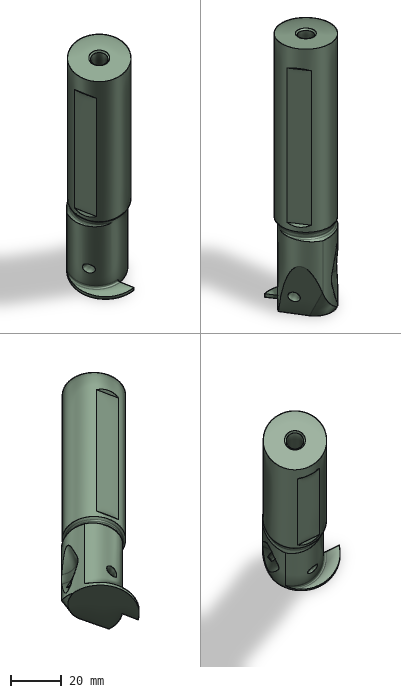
import math

import cadquery as cq

TOTAL_LENGTH = 124.42
SHANK_RADIUS = 12.5

FLAT_DEPTH = 1.0
FLAT_BOTTOM_Z = 44.4
FLAT_TOP_Z = 114.5

SHANK_BOTTOM_Z = 41.25
NECK_RADIUS = 11.35
NECK_TOP_Z = 40.1
NECK_BOTTOM_Z = 37.9
NECK_FILLET = 1.0
SHOULDER_ANGLE = 30.0

HEAD_TOP_Z = 39.6
HEAD_BLANK_RADIUS = 20.0
BACK_RADIUS = 15.32
BACK_CENTER_X = 2.8
FRONT_RADIUS = 12.4
FRONT_CENTER_X = -1.27

BLADE_THICKNESS = 1.6
BLADE_EDGE_Y = -3.96
BLADE_FILLET = 1.0

RELIEF_RADIUS = 8.96
RELIEF_CREST_X = -2.89
RELIEF_CREST_Y = 6.25
RELIEF_FALL = 0.04
RELIEF_LEAN_X = -0.457
RELIEF_LEAN_Y = 0.262

SCOOP_Y = -1.2
SCOOP_Z = 17.15
SCOOP_FLOOR_X = -8.5
SCOOP_RADIUS = 8.5
SCOOP_ANGLE = 18.5
SCOOP_FLOOR_HALF_HEIGHT = 2.7
SCOOP_HALF_HEIGHT = 16.0

BORE_RADIUS = 3.4
BORE_CHAMFER = 0.7
BORE_BOTTOM_Z = 26.0
DRILL_POINT_ANGLE = 118.0
COOLANT_RADIUS = 1.5
SCOOP_HOLE_TOP = (-1.85, -0.95, 25.0)
SCOOP_HOLE_END = (-9.0, 0.0, 14.2)
CROSS_HOLE_RADIUS = 2.5
CROSS_HOLE_FRONT = (1.65, -12.4, 12.5)
CROSS_HOLE_BACK = (2.9, 9.0, 8.8)
LINK_HOLE_TOP = (1.9, -2.4, 25.5)
LINK_HOLE_END = (1.9, -6.0, 11.5)

OVERRUN = 5.0
FAR_REACH = 60.0


def disc(center_x, radius, height):
    return cq.Workplane("XY").center(center_x, 0).circle(radius).extrude(height)


def drill(start, end, radius, start_overrun=0.0, end_overrun=0.0):
    """A round cutter from start to end, lengthened at either end."""
    first = cq.Vector(*start)
    axis = cq.Vector(*end) - first
    direction = axis.normalized()
    length = axis.Length + start_overrun + end_overrun
    origin = first - direction * start_overrun
    return cq.Workplane(cq.Solid.makeCylinder(radius, length, origin, direction))


def half_space_front():
    """Everything on the -Y side of the blade's cutting edge."""
    center_y = BLADE_EDGE_Y - FAR_REACH / 2
    return cq.Workplane("XY").box(FAR_REACH, FAR_REACH, FAR_REACH).translate((0, center_y, 0))


def neck_root(corner_z, flank_turn, toward):
    """Three points of the root fillet from the neck into a flank.

    The profile turns by flank_turn there; toward is +1 for the upper flank and -1 for the lower.
    """
    setback = NECK_FILLET * math.tan(flank_turn / 2)
    center_r = NECK_RADIUS + NECK_FILLET
    center_z = corner_z - toward * setback
    on_neck = (NECK_RADIUS, center_z)
    middle = (
        center_r - NECK_FILLET * math.cos(flank_turn / 2),
        center_z + toward * NECK_FILLET * math.sin(flank_turn / 2),
    )
    on_flank = (
        center_r - NECK_FILLET * math.cos(flank_turn),
        center_z + toward * NECK_FILLET * math.sin(flank_turn),
    )
    return on_neck, middle, on_flank


def turned_blank():
    """Shank, filleted neck groove and oversized head, turned about Z."""
    shoulder_turn = math.radians(90 - SHOULDER_ANGLE)
    shank_turn = math.atan2(SHANK_RADIUS - NECK_RADIUS, SHANK_BOTTOM_Z - NECK_TOP_Z)
    shoulder_drop = (HEAD_BLANK_RADIUS - NECK_RADIUS) / math.tan(shoulder_turn)
    low_neck, low_middle, low_flank = neck_root(NECK_BOTTOM_Z, shoulder_turn, -1)
    top_neck, top_middle, top_flank = neck_root(NECK_TOP_Z, shank_turn, 1)
    return (
        cq.Workplane("XZ")
        .lineTo(HEAD_BLANK_RADIUS, 0)
        .lineTo(HEAD_BLANK_RADIUS, NECK_BOTTOM_Z - shoulder_drop)
        .lineTo(*low_flank)
        .threePointArc(low_middle, low_neck)
        .lineTo(*top_neck)
        .threePointArc(top_middle, top_flank)
        .lineTo(SHANK_RADIUS, SHANK_BOTTOM_Z)
        .lineTo(SHANK_RADIUS, TOTAL_LENGTH)
        .lineTo(0, TOTAL_LENGTH)
        .close()
        .revolve(360, (0, 0, 0), (0, 1, 0))
    )


def lens_outline():
    """Head section bounded by the two round outlines that cross at its corners."""
    center_gap = BACK_CENTER_X - FRONT_CENTER_X
    back_to_corner = (BACK_RADIUS**2 - FRONT_RADIUS**2 + center_gap**2) / (2 * center_gap)
    corner_x = BACK_CENTER_X - back_to_corner
    corner_y = math.sqrt(BACK_RADIUS**2 - back_to_corner**2)
    return (
        cq.Workplane("XY")
        .moveTo(corner_x, -corner_y)
        .threePointArc((FRONT_CENTER_X + FRONT_RADIUS, 0), (corner_x, corner_y))
        .threePointArc((BACK_CENTER_X - BACK_RADIUS, 0), (corner_x, -corner_y))
        .close()
    )


def head_trim():
    """Stock around the head, leaving the lens-shaped section."""
    stock = disc(0, HEAD_BLANK_RADIUS + OVERRUN, HEAD_TOP_Z)
    return stock.cut(lens_outline().extrude(HEAD_TOP_Z))


def blade():
    """Thin blade with a concave fillet running up to the head."""
    fillet_top = BLADE_THICKNESS + BLADE_FILLET
    fillet_radius = FRONT_RADIUS + BLADE_FILLET
    arc_offset = BLADE_FILLET * (1 - math.sqrt(0.5))
    root = (
        cq.Workplane("XZ")
        .moveTo(0, 0)
        .lineTo(fillet_radius, 0)
        .lineTo(fillet_radius, BLADE_THICKNESS)
        .threePointArc(
            (FRONT_RADIUS + arc_offset, BLADE_THICKNESS + arc_offset),
            (FRONT_RADIUS, fillet_top),
        )
        .lineTo(0, fillet_top)
        .close()
        .revolve(360, (0, 0, 0), (0, 1, 0))
        .translate((FRONT_CENTER_X, 0, 0))
        .intersect(disc(BACK_CENTER_X, BACK_RADIUS, fillet_top))
    )
    plate = disc(BACK_CENTER_X, BACK_RADIUS, BLADE_THICKNESS)
    return plate.union(root).intersect(half_space_front())


def relief_cutter():
    """Oblique prism whose kept side is a plane rounding over toward -X."""
    far_y = RELIEF_CREST_Y - RELIEF_FALL * (FAR_REACH - RELIEF_CREST_X)
    arc_center_y = RELIEF_CREST_Y - RELIEF_RADIUS
    left_x = RELIEF_CREST_X - RELIEF_RADIUS
    arc_step = RELIEF_RADIUS * math.sqrt(0.5)
    outline = (
        cq.Workplane("XY")
        .moveTo(FAR_REACH, far_y)
        .lineTo(RELIEF_CREST_X, RELIEF_CREST_Y)
        .threePointArc(
            (RELIEF_CREST_X - arc_step, arc_center_y + arc_step),
            (left_x, arc_center_y),
        )
        .lineTo(left_x, -FAR_REACH)
        .lineTo(-FAR_REACH, -FAR_REACH)
        .lineTo(-FAR_REACH, FAR_REACH)
        .lineTo(FAR_REACH, FAR_REACH)
        .close()
    )
    lean = cq.Vector(RELIEF_LEAN_X, RELIEF_LEAN_Y, 1) * SHANK_BOTTOM_Z
    return cq.Workplane(cq.Solid.extrudeLinear(outline.val(), [], lean))


def scoop_cutter():
    """Waisted tool: two cones tapering away from a rounded middle."""
    slope = math.tan(math.radians(SCOOP_ANGLE))
    floor_arc_radius = SCOOP_FLOOR_HALF_HEIGHT / math.sin(math.radians(SCOOP_ANGLE))
    arc_drop = floor_arc_radius * (1 - math.cos(math.radians(SCOOP_ANGLE)))
    cone_start = SCOOP_RADIUS - arc_drop
    cone_end = cone_start - slope * (SCOOP_HALF_HEIGHT - SCOOP_FLOOR_HALF_HEIGHT)
    return (
        cq.Workplane("XZ")
        .moveTo(0, -SCOOP_HALF_HEIGHT)
        .lineTo(cone_end, -SCOOP_HALF_HEIGHT)
        .lineTo(cone_start, -SCOOP_FLOOR_HALF_HEIGHT)
        .threePointArc((SCOOP_RADIUS, 0), (cone_start, SCOOP_FLOOR_HALF_HEIGHT))
        .lineTo(cone_end, SCOOP_HALF_HEIGHT)
        .lineTo(0, SCOOP_HALF_HEIGHT)
        .close()
        .revolve(360, (0, 0, 0), (0, 1, 0))
        .translate((SCOOP_FLOOR_X - SCOOP_RADIUS, SCOOP_Y, SCOOP_Z))
    )


def flat_cutter(side):
    """Flat on the given Y side (+1 or -1), with 45 degree ends."""
    floor_y = SHANK_RADIUS - FLAT_DEPTH
    outer_y = SHANK_RADIUS + FLAT_DEPTH
    run_out = outer_y - floor_y
    return (
        cq.Workplane("YZ")
        .polyline([
            (side * floor_y, FLAT_BOTTOM_Z),
            (side * outer_y, FLAT_BOTTOM_Z - run_out),
            (side * outer_y, FLAT_TOP_Z + run_out),
            (side * floor_y, FLAT_TOP_Z),
        ])
        .close()
        .extrude(SHANK_RADIUS, both=True)
    )


def bore_cutter():
    """Central bore with a chamfered mouth and a drill-point bottom."""
    mouth_radius = BORE_RADIUS + BORE_CHAMFER
    point_depth = BORE_RADIUS / math.tan(math.radians(DRILL_POINT_ANGLE / 2))
    return (
        cq.Workplane("XZ")
        .polyline([
            (0, BORE_BOTTOM_Z - point_depth),
            (BORE_RADIUS, BORE_BOTTOM_Z),
            (BORE_RADIUS, TOTAL_LENGTH - BORE_CHAMFER),
            (mouth_radius, TOTAL_LENGTH),
            (0, TOTAL_LENGTH),
        ])
        .close()
        .revolve(360, (0, 0, 0), (0, 1, 0))
    )


result = turned_blank().cut(head_trim())
result = result.union(blade())
result = result.cut(relief_cutter())
result = result.cut(scoop_cutter())
for flat_side in (-1, 1):
    result = result.cut(flat_cutter(flat_side))
result = result.cut(bore_cutter())
result = result.cut(drill(SCOOP_HOLE_TOP, SCOOP_HOLE_END, COOLANT_RADIUS, OVERRUN / 2, OVERRUN))
result = result.cut(drill(CROSS_HOLE_FRONT, CROSS_HOLE_BACK, CROSS_HOLE_RADIUS, OVERRUN, OVERRUN))
result = result.cut(drill(LINK_HOLE_TOP, LINK_HOLE_END, COOLANT_RADIUS))